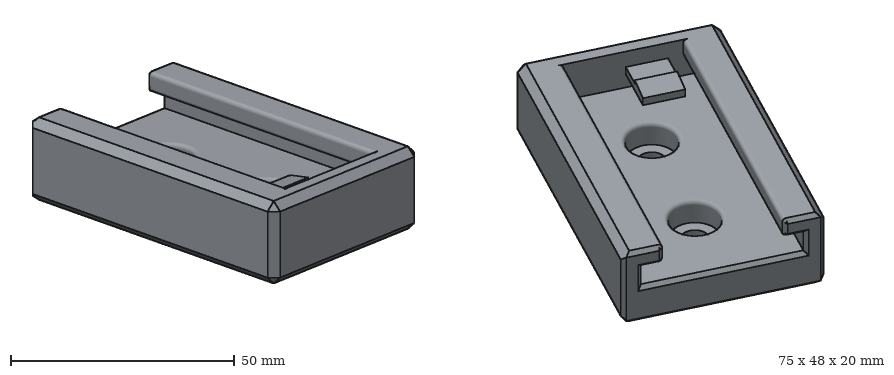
import cadquery as cq

LENGTH = 75.0
WIDTH = 48.0
HEIGHT = 20.0
EDGE_CHAMFER = 2.0
ENTRY_CHAMFER = 1.0

SLOT_LENGTH = 70.0
SLOT_WIDTH = 38.4
MOUTH_WIDTH = 28.4
FLOOR_Z = 9.8
LIP_BOTTOM_Z = 15.2
LIP_FILLET = 1.0

HOLE_POSITIONS = (20.0, 50.0)
HOLE_DIAMETER = 6.5
BORE_DIAMETER = 12.0
BORE_DEPTH = 6.0
BORE_FILLET = 1.0

LATCH_LENGTH = 12.0
LATCH_WIDTH = 10.0
LATCH_SIDE_Y = -0.6
LATCH_BOTTOM_Z = 13.6
LATCH_THICKNESS = 2.0
RAMP_LENGTH = 5.6
RAMP_RISE = 1.0


def make_outer_shape():
    """Plain chamfered block; the entry end gets a smaller chamfer than the other edges."""
    box = cq.Workplane("XY").box(LENGTH, WIDTH, HEIGHT, centered=(False, True, False))
    entry_chamfered = box.faces("<X").chamfer(ENTRY_CHAMFER)
    return box.edges("|X or >X").chamfer(EDGE_CHAMFER).intersect(entry_chamfered)


def make_slotted_box():
    """Square-edged box with the lipped slot, its lips rounded and its entry flared."""
    box = cq.Workplane("XY").box(LENGTH, WIDTH, HEIGHT, centered=(False, True, False))
    undercut = cq.Workplane("XY", origin=(0, 0, FLOOR_Z)).box(
        SLOT_LENGTH, SLOT_WIDTH, LIP_BOTTOM_Z - FLOOR_Z, centered=(False, True, False)
    )
    mouth = cq.Workplane("XY", origin=(0, 0, FLOOR_Z)).box(
        SLOT_LENGTH, MOUTH_WIDTH, HEIGHT - FLOOR_Z, centered=(False, True, False)
    )
    body = box.cut(undercut).cut(mouth)
    for side in (-1, 1):
        for z in (LIP_BOTTOM_Z, HEIGHT):
            lip_edge_midpoint = (SLOT_LENGTH / 2, side * MOUTH_WIDTH / 2, z)
            body = body.edges(cq.selectors.NearestToPointSelector(lip_edge_midpoint)).fillet(LIP_FILLET)
    return body.faces("<X").chamfer(ENTRY_CHAMFER)


def cut_screw_holes(body):
    """Cut counterbored through holes along the slot floor, with rounded counterbore rims."""
    hole = cq.Workplane("XY").circle(HOLE_DIAMETER / 2).extrude(FLOOR_Z)
    bore = (
        cq.Workplane("XY", origin=(0, 0, FLOOR_Z - BORE_DEPTH))
        .circle(BORE_DIAMETER / 2)
        .extrude(BORE_DEPTH)
    )
    for x in HOLE_POSITIONS:
        body = body.cut(hole.union(bore).translate((x, 0, 0)))
        rim_center = (x, 0, FLOOR_Z)
        body = body.edges(cq.selectors.NearestToPointSelector(rim_center)).fillet(BORE_FILLET)
    return body


def make_latch():
    """Flat tongue with a ramp at its tip that ends in a square step."""
    tip_x = SLOT_LENGTH - LATCH_LENGTH
    crest_x = tip_x + RAMP_LENGTH
    top_z = LATCH_BOTTOM_Z + LATCH_THICKNESS
    return (
        cq.Workplane("XZ", origin=(0, LATCH_SIDE_Y, 0))
        .moveTo(tip_x, LATCH_BOTTOM_Z)
        .lineTo(SLOT_LENGTH, LATCH_BOTTOM_Z)
        .lineTo(SLOT_LENGTH, top_z)
        .lineTo(crest_x, top_z)
        .lineTo(crest_x, top_z + RAMP_RISE)
        .lineTo(tip_x, top_z)
        .close()
        .extrude(LATCH_WIDTH)
    )


body = make_slotted_box().intersect(make_outer_shape())
result = cut_screw_holes(body).union(make_latch())